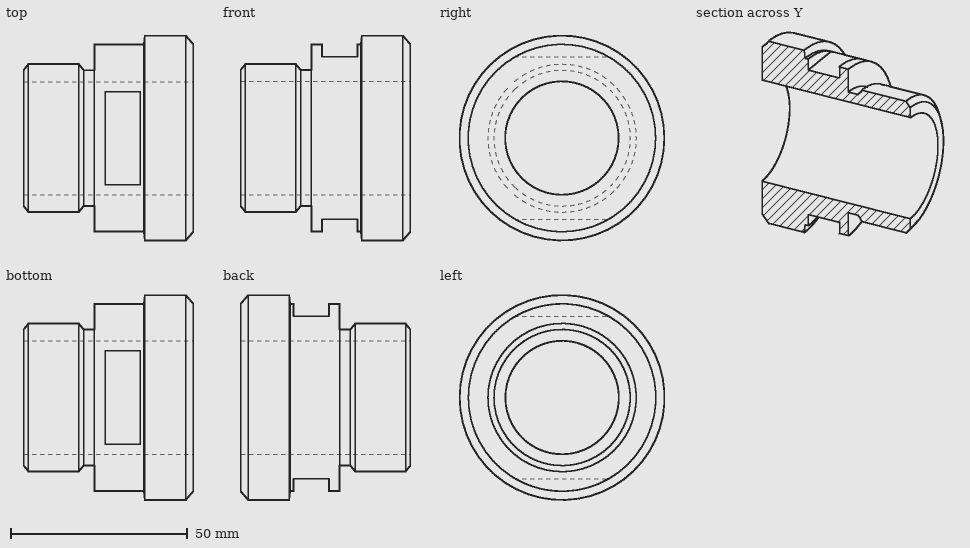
import cadquery as cq

bore_diameter = 32.0
spigot_diameter = 41.95
neck_diameter = 38.5
collar_diameter = 53.0
head_diameter = 58.0
across_flats = 46.0

spigot_chamfer_length = 1.4
spigot_end = 17.0
collar_start = 20.0
flat_start = 23.0
flat_end = 33.0
collar_end = 34.0
head_start = 34.3
overall_length = 48.0
head_chamfer_length = 2.15

bore_radius = bore_diameter / 2
spigot_radius = spigot_diameter / 2
neck_radius = neck_diameter / 2
collar_radius = collar_diameter / 2
head_radius = head_diameter / 2


def turned_body():
    """Revolve the stepped half-section, whose head has a slightly conical shoulder, around the X axis."""
    section = [
        (0, bore_radius),
        (0, neck_radius),
        (spigot_chamfer_length, spigot_radius),
        (spigot_end - spigot_chamfer_length, spigot_radius),
        (spigot_end, neck_radius),
        (collar_start, neck_radius),
        (collar_start, collar_radius),
        (collar_end, collar_radius),
        (head_start, head_radius),
        (overall_length - head_chamfer_length, head_radius),
        (overall_length, collar_radius),
        (overall_length, bore_radius),
    ]
    return cq.Workplane("XY").polyline(section).close().revolve(360, (0, 0, 0), (1, 0, 0))


def wrench_flat_cutter(side):
    """Block that removes the collar above (side = 1) or below (side = -1) a flat."""
    flat_length = flat_end - flat_start
    cut_depth = head_radius - across_flats / 2
    center_x = (flat_start + flat_end) / 2
    center_z = side * (across_flats + cut_depth) / 2
    return cq.Workplane("XY").box(flat_length, head_diameter, cut_depth).translate(
        (center_x, 0, center_z)
    )


result = turned_body()
for side in (1, -1):
    result = result.cut(wrench_flat_cutter(side))